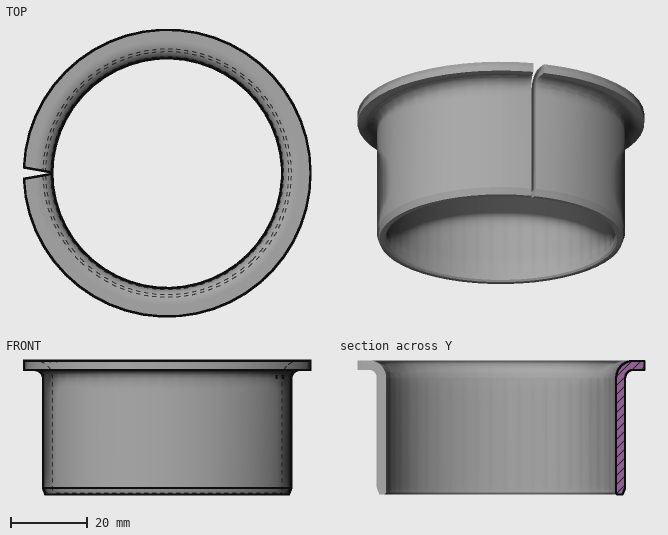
import cadquery as cq
import math

flange_diameter = 75.0
height = 35.0
bore_diameter = 60.0
wall = 2.5
inner_bend_radius = 4.5

outer_chamfer_height = 1.8
outer_chamfer_depth = 0.7
inner_chamfer = 0.45

gap_width_at_bore = 0.3
gap_width_at_rim = 2.9

flange_radius = flange_diameter / 2
bore_radius = bore_diameter / 2
barrel_radius = bore_radius + wall
bend_center_radius = bore_radius + inner_bend_radius
bend_center_z = height - inner_bend_radius
outer_bend_radius = inner_bend_radius - wall


def bend_midpoint(radius):
    """Middle of the quarter-circle bend at the given bend radius."""
    offset = radius * math.sqrt(0.5)
    return (bend_center_radius - offset, bend_center_z + offset)


def make_bushing():
    """Revolve the wall profile, bent outward into the flange at the top."""
    return (
        cq.Workplane("XZ")
        .moveTo(bore_radius + inner_chamfer, 0)
        .lineTo(barrel_radius - outer_chamfer_depth, 0)
        .lineTo(barrel_radius, outer_chamfer_height)
        .lineTo(barrel_radius, bend_center_z)
        .threePointArc(bend_midpoint(outer_bend_radius), (bend_center_radius, height - wall))
        .lineTo(flange_radius, height - wall)
        .lineTo(flange_radius, height)
        .lineTo(bend_center_radius, height)
        .threePointArc(bend_midpoint(inner_bend_radius), (bore_radius, bend_center_z))
        .lineTo(bore_radius, inner_chamfer)
        .close()
        .revolve(360, (0, 0, 0), (0, 1, 0))
    )


def make_joint_cutter():
    """Full-height wedge, its straight sides continued past the bore to their meeting point."""
    width_per_radius = (gap_width_at_rim - gap_width_at_bore) / (flange_radius - bore_radius)
    apex_radius = bore_radius - gap_width_at_bore / width_per_radius
    half_rim = gap_width_at_rim / 2
    return (
        cq.Workplane("XY")
        .polyline([(-apex_radius, 0), (-flange_radius, half_rim), (-flange_radius, -half_rim)])
        .close()
        .extrude(height)
    )


bushing = make_bushing().rotate((0, 0, 0), (0, 0, 1), 180)
result = bushing.cut(make_joint_cutter())